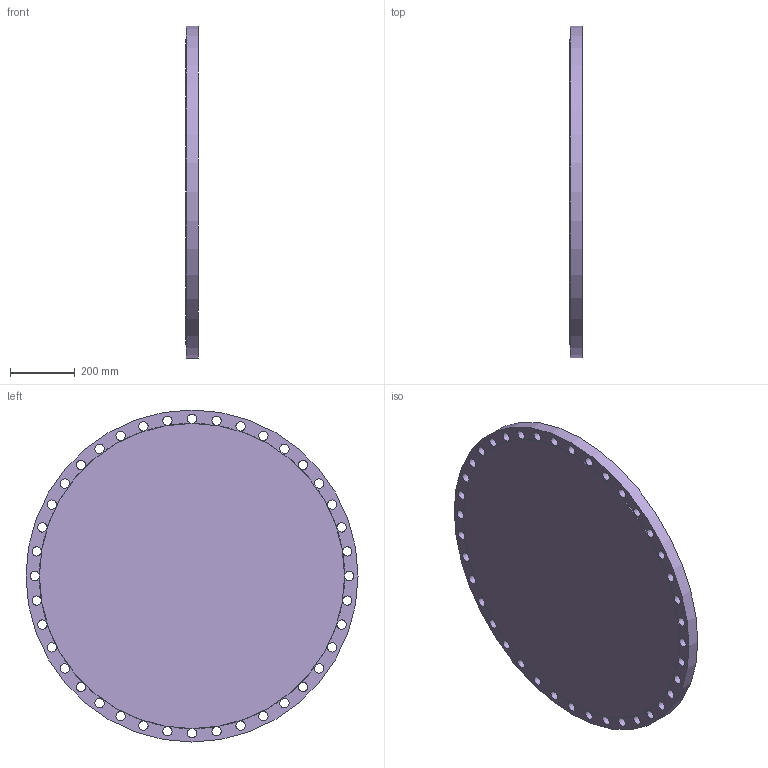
import cadquery as cq

flange_diameter = 1022.35
total_thickness = 39.6875
raised_face_diameter = 939.8
raised_face_height = 1.5875
bolt_hole_diameter = 28.575
bolt_hole_count = 40

bolt_circle_diameter = raised_face_diameter + bolt_hole_diameter
plate_thickness = total_thickness - raised_face_height

back_plane = cq.Plane(origin=(0, 0, 0), xDir=(0, 0, 1), normal=(-1, 0, 0))


def make_plate():
    """Plain round plate."""
    return cq.Workplane(back_plane).circle(flange_diameter / 2).extrude(plate_thickness)


def make_bolt_holes():
    """Ring of cylinders through the plate, the first on the Z axis."""
    return (
        cq.Workplane(back_plane)
        .polarArray(bolt_circle_diameter / 2, 0, 360, bolt_hole_count)
        .circle(bolt_hole_diameter / 2)
        .extrude(plate_thickness)
    )


def make_raised_face():
    """Shallow sealing disc standing on the front of the plate."""
    return (
        cq.Workplane(back_plane)
        .workplane(offset=plate_thickness)
        .circle(raised_face_diameter / 2)
        .extrude(raised_face_height)
    )


drilled_plate = make_plate().cut(make_bolt_holes())
result = drilled_plate.union(make_raised_face())